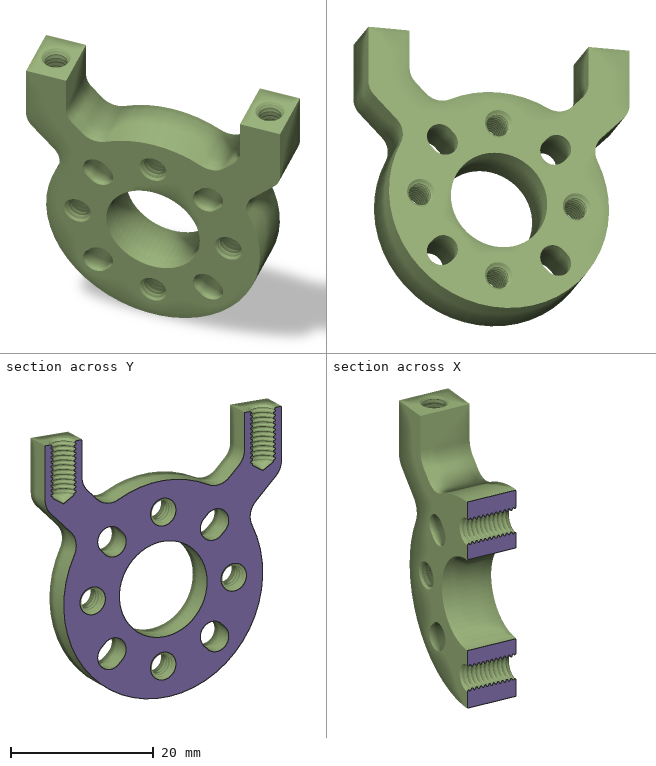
import cadquery as cq
import math

thickness = 8.0
ring_radius = 16.0
bore_diameter = 14.0

arm_width = 6.0
arm_center_x = 16.0
arm_top_z = 24.0
bend_radius = arm_width / 2

slot_width = 3.9
slot_center_spacing = 0.8
slot_circle_radius = 11.65

tapped_circle_radius = 11.3
thread_major_diameter = 4.0
thread_pitch = 2.8 / 4
tap_chamfer_diameter = 4.1
arm_thread_depth = 8.0
drill_point_angle = 118.0

thread_sharp_height = thread_pitch * math.sqrt(3) / 2
groove_depth = thread_sharp_height * 5 / 8
groove_mouth = thread_pitch * 3 / 4
groove_root = thread_pitch / 8
thread_major_radius = thread_major_diameter / 2
thread_minor_radius = thread_major_radius - groove_depth
tap_chamfer_radius = tap_chamfer_diameter / 2
tap_chamfer = tap_chamfer_radius - thread_minor_radius

through_groove_count = math.floor(thickness / thread_pitch)
first_groove_depth = (thickness - (through_groove_count - 1) * thread_pitch) / 2
blind_groove_count = math.floor((arm_thread_depth - first_groove_depth) / thread_pitch) + 1


def back_plane():
    """Sketch plane on the back face, from which an extrusion grows towards the front (-Y)."""
    return cq.Workplane("XZ").workplane(offset=-thickness / 2)


def make_ring():
    return back_plane().circle(ring_radius).extrude(thickness)


def make_arm(side):
    """Bent arm from the ring's centre outwards, on the +X (side=1) or -X (side=-1) side."""
    half_width = arm_width / 2
    outer_x = arm_center_x + half_width
    inner_x = arm_center_x - half_width
    edge_rise = half_width * math.sqrt(2)
    outline = [
        (edge_rise, 0),
        (outer_x, outer_x - edge_rise),
        (outer_x, arm_top_z),
        (inner_x, arm_top_z),
        (inner_x, inner_x + edge_rise),
        (0, edge_rise),
    ]
    points = [(side * x, z) for x, z in outline]
    return back_plane().polyline(points).close().extrude(thickness)


def make_body():
    body = make_ring().union(make_arm(1)).union(make_arm(-1))
    bends = body.edges("|Y").edges(cq.selectors.BoxSelector(
        (-2 * arm_center_x, -thickness, 0),
        (2 * arm_center_x, thickness, arm_top_z - arm_width),
    ))
    return bends.fillet(bend_radius)


def make_slot(angle):
    """Short radial slot through the ring at the given angle."""
    slot_length = slot_center_spacing + slot_width
    return (
        back_plane()
        .slot2D(slot_length, slot_width)
        .extrude(thickness)
        .translate((slot_circle_radius, 0, 0))
        .rotate((0, 0, 0), (0, 1, 0), angle)
    )


def revolve_about_z(profile):
    """Solid of revolution about Z from (radius, z) points."""
    return cq.Workplane("XZ").polyline(profile).close().revolve(360, (0, 0, 0), (0, 1, 0))


def make_thread(groove_count):
    """Threaded rod along -Z, each turn of the thread simplified to a ring."""
    profile = [(0, -first_groove_depth + groove_mouth / 2)]
    for groove in range(groove_count):
        center_z = -first_groove_depth - groove * thread_pitch
        profile += [
            (thread_minor_radius, center_z + groove_mouth / 2),
            (thread_major_radius, center_z + groove_root / 2),
            (thread_major_radius, center_z - groove_root / 2),
            (thread_minor_radius, center_z - groove_mouth / 2),
        ]
    profile.append((0, center_z - groove_mouth / 2))
    return revolve_about_z(profile)


def make_through_tap():
    """Cutter along -Z from z = 0, one plate thickness long, chamfered at both ends."""
    core = revolve_about_z([
        (0, 0),
        (tap_chamfer_radius, 0),
        (thread_minor_radius, -tap_chamfer),
        (thread_minor_radius, tap_chamfer - thickness),
        (tap_chamfer_radius, -thickness),
        (0, -thickness),
    ])
    return core.union(make_thread(through_groove_count))


def make_blind_tap():
    """Cutter along -Z with its chamfered mouth at z = 0 and a drill point at the bottom."""
    point_depth = thread_minor_radius / math.tan(math.radians(drill_point_angle / 2))
    core = revolve_about_z([
        (0, 0),
        (tap_chamfer_radius, 0),
        (thread_minor_radius, -tap_chamfer),
        (thread_minor_radius, -arm_thread_depth),
        (0, -arm_thread_depth - point_depth),
    ])
    return core.union(make_thread(blind_groove_count))


bore = back_plane().circle(bore_diameter / 2).extrude(thickness)
result = make_body().cut(bore)

for quarter in range(4):
    result = result.cut(make_slot(45 + 90 * quarter))

through_tap = make_through_tap().rotate((0, 0, 0), (1, 0, 0), 90).translate((0, -thickness / 2, 0))
for x_step, z_step in [(1, 0), (0, 1), (-1, 0), (0, -1)]:
    position = (x_step * tapped_circle_radius, 0, z_step * tapped_circle_radius)
    result = result.cut(through_tap.translate(position))

blind_tap = make_blind_tap()
for side in (1, -1):
    result = result.cut(blind_tap.translate((side * arm_center_x, 0, arm_top_z)))

result = cq.Workplane(result.solids().val())